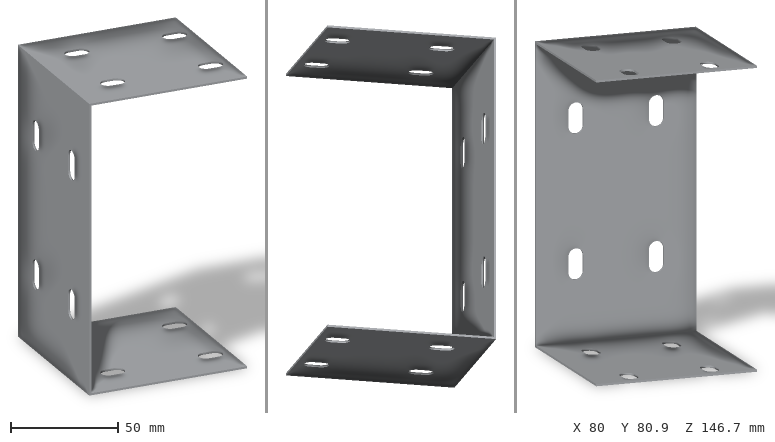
import cadquery as cq

width = 80.0
depth = 80.9
height = 146.7
thickness = 1.0

slot_width = 7.3
column_pitch = 40.0
web_slot_length = 15.0
web_row_pitch = 70.0
flange_slot_length = 12.0
flange_row_pitch = 50.0
flange_edge_to_slot = 9.7
flange_slots_y = depth - flange_edge_to_slot - flange_row_pitch / 2


def make_channel():
    """C-shaped body, open towards +Y, with the outer web face at Y = 0."""
    body = cq.Workplane("XY").box(width, depth, height, centered=(True, False, True))
    opening = cq.Workplane("XY").box(
        width, depth - thickness, height - 2 * thickness, centered=(True, False, True)
    )
    return body.cut(opening.translate((0, thickness, 0)))


def slot_grid(plane, row_pitch, slot_length):
    """Two columns and two rows of slots running along the local Y direction."""
    return (
        plane.rarray(column_pitch, row_pitch, 2, 2)
        .slot2D(slot_length, slot_width, angle=90)
    )


web_slots = slot_grid(cq.Workplane("XZ"), web_row_pitch, web_slot_length).extrude(-thickness)

flange_plane = cq.Workplane("XY", origin=(0, flange_slots_y, 0))
flange_slots = slot_grid(flange_plane, flange_row_pitch, flange_slot_length).extrude(
    height / 2, both=True
)

result = make_channel().cut(web_slots).cut(flange_slots)